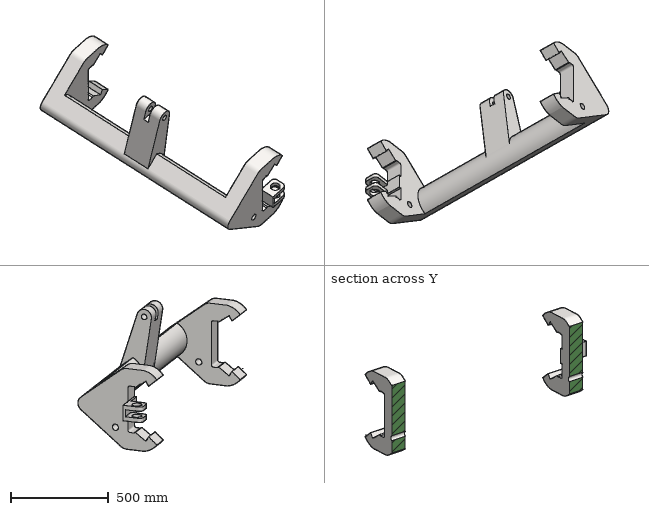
import cadquery as cq
import math

frame_width = 1255.0
arm_thickness = 90.0
arm_half_height = 218.0
slope_angle = math.radians(38)
slope_rise = math.tan(slope_angle)
nose_radius = 43.0
shoulder_radius = 54.0

back_arc_start = 363.0
back_arc_middle = (404.0, 203.0)
jaw_tip = (435.0, 175.0)
tooth_point = (390.0, 135.0)
tooth_notch = (373.0, 161.0)
jaw_lip = (317.0, 121.0)
relief_start = 309.0
relief_height = 125.0
jaw_floor = 277.0
relief_radius = 11.0

arm_hole_diameter = 34.0
arm_hole_center = (207.0, -106.0)

bar_radius = 100.0

lever_width = 159.0
lever_radius = 40.0
lever_eye = (149.0, 315.0)
lever_eye_diameter = 30.0
lever_slot_width = 30.0
lever_slot_depth = 75.0

lug_length = 70.0
lug_tuck = 11.0
lug_depth = 103.0
lug_height = 83.0
prong_thickness = 23.0
lug_web = 12.0
lug_corner_radius = 21.0
lug_hole_diameter = 50.0
lug_hole_from_arm = 34.0
lug_hole_y = 339.0
lug_flare_length = 10.0
lug_flare_depth = 3.0

block_size = 1.0
block_gap = 17.0
block_y = 405.0
block_z = -150.0

frame_end = frame_width / 2
nose_center = (nose_radius, 0)
slope_apex = nose_radius - nose_radius / math.sin(slope_angle)
slope_corner = slope_apex + arm_half_height / slope_rise
nose_tangent = (nose_radius * (1 - math.sin(slope_angle)), nose_radius * math.cos(slope_angle))
shoulder_setback = shoulder_radius * math.tan(slope_angle / 2)
shoulder_front = (
    slope_corner - shoulder_setback * math.cos(slope_angle),
    arm_half_height - shoulder_setback * math.sin(slope_angle),
)
shoulder_back_y = slope_corner + shoulder_setback
shoulder_middle = (
    shoulder_back_y - shoulder_radius * math.sin(slope_angle / 2),
    arm_half_height - shoulder_radius * (1 - math.cos(slope_angle / 2)),
)


def side_plane(x):
    """Plane across X, with local axes Y and Z."""
    return cq.Workplane("YZ", origin=(x, 0, 0))


def mirrored(point):
    return (point[0], -point[1])


def nose_and_slopes(x):
    """Start an outline at the lower shoulder and run round the nose to the upper one."""
    return (
        side_plane(x)
        .moveTo(*mirrored(shoulder_front))
        .lineTo(*mirrored(nose_tangent))
        .threePointArc((0, 0), nose_tangent)
        .lineTo(*shoulder_front)
    )


def make_arm(x):
    """Open-jawed plate that starts at x and is thickened toward +X."""
    relief_edge = (relief_start, relief_height)
    relief_corner = (jaw_floor, relief_height)
    plate = (
        nose_and_slopes(x)
        .threePointArc(shoulder_middle, (shoulder_back_y, arm_half_height))
        .lineTo(back_arc_start, arm_half_height)
        .threePointArc(back_arc_middle, jaw_tip)
        .lineTo(*tooth_point)
        .lineTo(*tooth_notch)
        .lineTo(*jaw_lip)
        .lineTo(*relief_edge)
        .lineTo(*relief_corner)
        .lineTo(*mirrored(relief_corner))
        .lineTo(*mirrored(relief_edge))
        .lineTo(*mirrored(jaw_lip))
        .lineTo(*mirrored(tooth_notch))
        .lineTo(*mirrored(tooth_point))
        .lineTo(*mirrored(jaw_tip))
        .threePointArc(mirrored(back_arc_middle), (back_arc_start, -arm_half_height))
        .lineTo(shoulder_back_y, -arm_half_height)
        .threePointArc(mirrored(shoulder_middle), mirrored(shoulder_front))
        .close()
        .extrude(arm_thickness)
    )
    relief_corners = cq.selectors.BoxSelector(
        (x - 13, jaw_floor - 1.0, -arm_half_height),
        (x + arm_thickness + 13, jaw_floor + 1.0, arm_half_height),
    )
    plate = plate.edges("|X").edges(relief_corners).fillet(relief_radius)
    hole = side_plane(x).center(*arm_hole_center).circle(arm_hole_diameter / 2).extrude(arm_thickness)
    return plate.cut(hole)


def make_bar():
    """Cross bar: a cylinder about the nose axis, trimmed by the two slopes."""
    wedge = nose_and_slopes(-frame_end).close().extrude(frame_width)
    cylinder = side_plane(-frame_end).center(*nose_center).circle(bar_radius).extrude(frame_width)
    return wedge.intersect(cylinder)


def eye_tangent(point, side):
    """Where a line from point touches the eye's rim; side is 1 for the back, -1 for the front."""
    dy = point[0] - lever_eye[0]
    dz = point[1] - lever_eye[1]
    angle = math.atan2(dz, dy) + side * math.acos(lever_radius / math.hypot(dy, dz))
    return (lever_eye[0] + lever_radius * math.cos(angle), lever_eye[1] + lever_radius * math.sin(angle))


def make_lever():
    """Tapered upright with a rounded, slotted and cross-drilled top."""
    left = -lever_width / 2
    top = lever_eye[1] + lever_radius
    foot_back = (nose_radius + bar_radius, 0)
    body = (
        side_plane(left)
        .moveTo(*nose_center)
        .lineTo(*nose_tangent)
        .lineTo(*eye_tangent(nose_tangent, -1))
        .threePointArc((lever_eye[0], top), eye_tangent(foot_back, 1))
        .lineTo(*foot_back)
        .close()
        .extrude(lever_width)
    )
    eye = side_plane(left).center(*lever_eye).circle(lever_eye_diameter / 2).extrude(lever_width)
    slot = cq.Workplane("XY").box(
        lever_slot_width, 4 * lever_radius, lever_slot_depth, centered=(True, True, False)
    ).translate((0, lever_eye[0], top - lever_slot_depth))
    return body.cut(eye).cut(slot)


def make_lug():
    """Two drilled prongs on a web that runs on as a foot across the arm's inner face."""
    lug_tip = jaw_floor + lug_depth
    lug_end = frame_end + lug_length
    plate = (
        cq.Workplane("XY", origin=(0, 0, -lug_height / 2))
        .moveTo(frame_end, jaw_floor - lug_flare_depth)
        .lineTo(frame_end + lug_flare_length, jaw_floor)
        .lineTo(lug_end, jaw_floor)
        .lineTo(lug_end, lug_tip)
        .lineTo(frame_end - lug_tuck, lug_tip)
        .lineTo(frame_end - lug_tuck, jaw_floor)
        .lineTo(frame_end, jaw_floor)
        .close()
        .extrude(lug_height)
        .edges("|Z and >Y")
        .fillet(lug_corner_radius)
    )
    hole = (
        cq.Workplane("XY", origin=(frame_end + lug_hole_from_arm, lug_hole_y, -lug_height / 2))
        .circle(lug_hole_diameter / 2)
        .extrude(lug_height)
    )
    gap = cq.Workplane("XY").box(
        lug_length + lug_tuck, lug_depth, lug_height - 2 * prong_thickness, centered=(False, False, True)
    ).translate((frame_end - lug_tuck, jaw_floor + lug_web, 0))
    foot = cq.Workplane("XY").box(
        arm_thickness + lug_length, lug_web, lug_height, centered=(False, False, True)
    ).translate((frame_end - arm_thickness, jaw_floor, 0))
    return plate.cut(hole).cut(gap).union(foot)


def make_frame():
    """Two arms, bar, lever and lug as one solid."""
    frame = make_bar().union(make_lever())
    for arm_x in (-frame_end, frame_end - arm_thickness):
        frame = frame.union(make_arm(arm_x))
    return frame.union(make_lug())


def make_block():
    """Small loose block held clear of the left-hand arm."""
    block_x = -frame_end - block_gap - block_size / 2
    return cq.Workplane("XY").box(block_size, block_size, block_size).translate((block_x, block_y, block_z))


frame = make_frame()
block = make_block()
result = cq.Compound.makeCompound([frame.val(), block.val()])